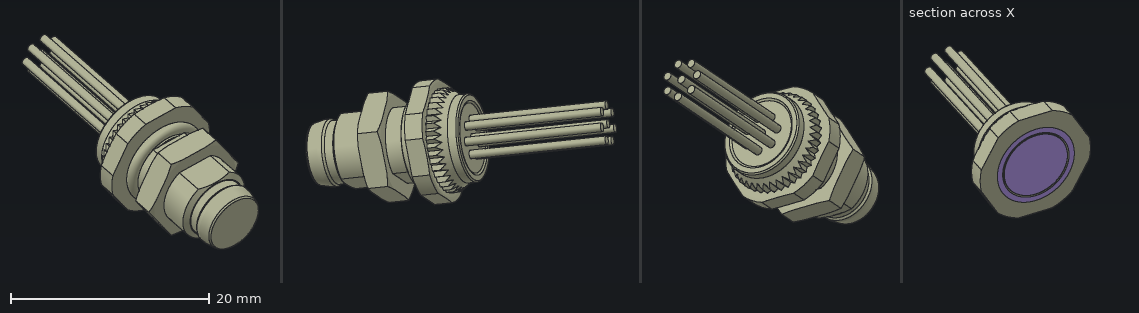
import cadquery as cq
import math

total_length = 31.6

wire_diameter = 0.9
wire_count = 7
wire_circle_diameter = 3.75

rim_start = 14.6
rim_diameter = 9.0
rim_chamfer = 0.15
rim_end = 15.67
recess_mouth_radius = 3.8
recess_floor_radius = 3.57
recess_depth = 0.15

tooth_count = 40
tooth_tip_radius = 5.3
tooth_root_radius = 4.87
cone_end = 16.87

flange_start = 17.6
flange_end = 19.6
flange_across_flats = 12.0
flange_diameter = 12.6
flange_chamfer_radius = 5.97
flange_chamfer_length = 0.1
dish_outer_radius = 5.75
dish_depth = 0.22

ring_tube_diameter = 1.23
ring_outer_radius = 4.7
seat_radius = 3.63

body_start = 20.9
body_diameter = 7.95
body_across_flats = 6.9
body_chamfer_start = 28.2
body_end = 28.57
body_end_radius = 3.35

nut_start = 22.6
nut_width = 2.53
nut_across_flats = 10.0
nut_face_radius = 5.18
nut_chamfer_length = 0.2

neck_radius = 3.25
neck_end = 29.5
collar_radius = 3.45
collar_start = 29.77
collar_end = 30.25
taper_end = 31.4
taper_end_radius = 3.2
tip_radius = 3.05


def hexagon_corner_radius(across_flats):
    return across_flats / math.sqrt(3)


def cylinder(radius, start, end):
    return cq.Workplane("YZ").workplane(offset=start).circle(radius).extrude(end - start)


def revolved(profile):
    """Solid of revolution about X from (x, radius) points, closed along the axis."""
    points = [(profile[0][0], 0)] + profile + [(profile[-1][0], 0)]
    return cq.Workplane("XY").polyline(points).close().revolve(360, (0, 0, 0), (1, 0, 0))


def hexagon_prism(across_flats, start, end):
    """Hexagon with two flats facing up and down and corners on the Y axis."""
    diameter = 2 * hexagon_corner_radius(across_flats)
    return cq.Workplane("YZ").workplane(offset=start).polygon(6, diameter).extrude(end - start)


def make_rim():
    rim = cylinder(rim_diameter / 2, rim_start, rim_end).faces("<X").chamfer(rim_chamfer)
    recess = revolved([
        (rim_start, recess_mouth_radius),
        (rim_start + recess_depth, recess_floor_radius),
    ])
    return rim.cut(recess)


def make_toothed_cone():
    """Star-shaped prism trimmed by a cone, so each groove runs out on the cone."""
    half_pitch = math.pi / tooth_count
    star = []
    for i in range(2 * tooth_count):
        radius = tooth_tip_radius if i % 2 else tooth_root_radius
        star.append((radius * math.cos(i * half_pitch), radius * math.sin(i * half_pitch)))
    end = flange_start + dish_depth
    teeth = cq.Workplane("YZ").workplane(offset=rim_end).polyline(star).close().extrude(end - rim_end)
    cone = revolved([(rim_end, rim_diameter / 2), (cone_end, tooth_tip_radius), (end, tooth_tip_radius)])
    return teeth.intersect(cone)


def make_flange():
    """Hexagon with rounded corners, a chamfered rear edge and a conical dish behind the teeth."""
    round_blank = revolved([
        (flange_start, flange_chamfer_radius),
        (flange_start + flange_chamfer_length, flange_diameter / 2),
        (flange_end, flange_diameter / 2),
    ])
    dish = revolved([
        (flange_start, dish_outer_radius),
        (flange_start + dish_depth, tooth_root_radius),
    ])
    return hexagon_prism(flange_across_flats, flange_start, flange_end).intersect(round_blank).cut(dish)


def make_seal():
    """Sealing ring against the flange, on its seat."""
    tube_radius = ring_tube_diameter / 2
    ring_centre_radius = ring_outer_radius - tube_radius
    seal = (
        cq.Workplane("XY")
        .center(flange_end + tube_radius, ring_centre_radius)
        .circle(tube_radius)
        .revolve(360, (0, -ring_centre_radius, 0), (1, -ring_centre_radius, 0))
    )
    return seal.union(cylinder(seat_radius, flange_end, body_start))


def make_body():
    """Round body with a flat on top and bottom and a chamfered front edge."""
    body = revolved([
        (body_start, body_diameter / 2),
        (body_chamfer_start, body_diameter / 2),
        (body_end, body_end_radius),
    ])
    slab = cq.Workplane("XY").box(2 * total_length, body_diameter, body_across_flats)
    return body.intersect(slab)


def make_nut():
    end = nut_start + nut_width
    corner_radius = hexagon_corner_radius(nut_across_flats)
    round_blank = revolved([
        (nut_start, nut_face_radius),
        (nut_start + nut_chamfer_length, corner_radius),
        (end - nut_chamfer_length, corner_radius),
        (end, nut_face_radius),
    ])
    return hexagon_prism(nut_across_flats, nut_start, end).intersect(round_blank)


def make_plug_end():
    return revolved([
        (body_end, neck_radius),
        (neck_end, neck_radius),
        (collar_start, collar_radius),
        (collar_end, collar_radius),
        (taper_end, taper_end_radius),
        (total_length, tip_radius),
    ])


def make_wires():
    """One central wire and a ring of wires, the first of them on the -Y side."""
    return (
        cq.Workplane("YZ")
        .circle(wire_diameter / 2)
        .polarArray(wire_circle_diameter / 2, 180, 360, wire_count)
        .circle(wire_diameter / 2)
        .extrude(rim_start + recess_depth)
    )


result = (
    make_rim()
    .union(make_toothed_cone())
    .union(make_flange())
    .union(make_seal())
    .union(make_body())
    .union(make_nut())
    .union(make_plug_end())
    .union(make_wires())
)